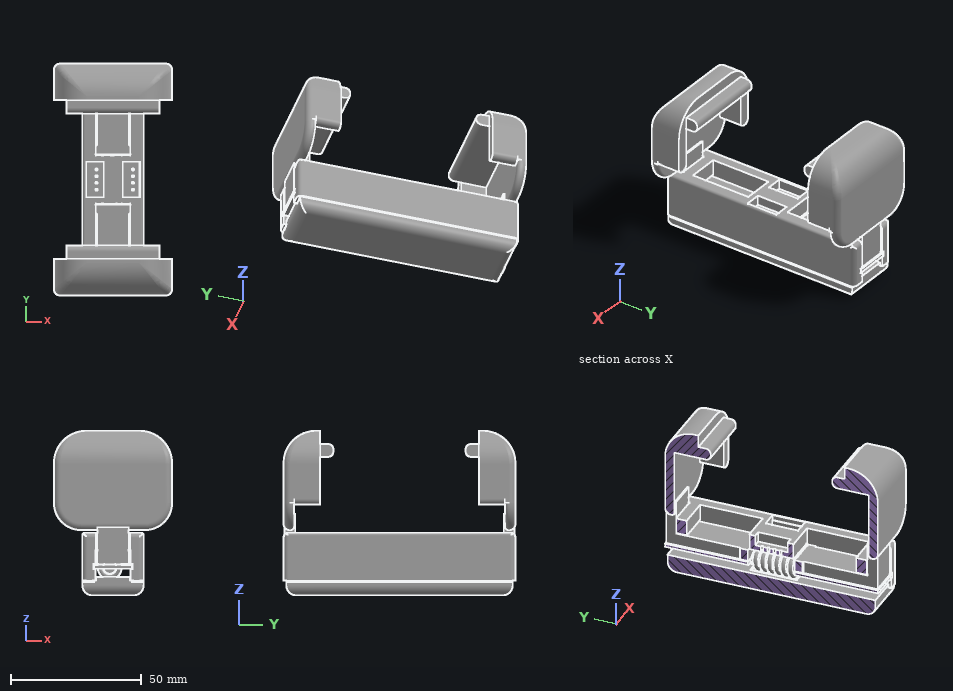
import cadquery as cq
import math


FRONT, BACK = -1, 1
ENDS = (FRONT, BACK)
SIDES = (-1, 1)

length = 88.8
half_length = length / 2
housing_width = 23.5
housing_bottom = 5.7
housing_top = 24.1
corner_radius = 1.95
end_edge_radius = 1.95
side_edge_radius = 1.1

channel_width = 13.2
channel_top = 17.4
stem_slot_depth = 4.7
groove_width = 15.0
groove_bottom = 10.0
groove_top = 12.1

window_inner_y = 9.2
window_outer_y = 35.25
socket_size_x = 6.75
socket_size_y = 13.5
socket_floor = 19.9
ledge_width = 0.35
ledge_top = 21.9
socket_centers_x = (-6.8, 7.1)
contact_offset_x = 0.5
contact_pitch = 2.6
contact_count = 4
contact_diameter = 0.83
contact_depth = 1.8

base_length = 86.65
base_top = 5.15
base_edge_radius = 3.9
tongue_width = 13.1
tongue_shoulder_width = 14.4
tongue_top = 7.1
peg_diameter = 2.4
peg_spacing_x = 18.2
peg_places_y = (-42.0, -7.8, 7.8, 42.0)

stem_width = 12.0
stem_outer_y = half_length - 0.35
stem_thickness = 4.3
stem_top = 31.2
arm_bottom = 12.0
arm_top = 17.05
arm_end_y = 9.7
arm_head_width = 13.05
arm_head_length = 3.55
arm_head_chamfer = 0.4

plate_width = 14.6
plate_bottom = 10.2
plate_top = 11.7

spring_x = -1.2
spring_z = 10.7
wire_diameter = 2.0
spring_outer_radius = 4.6
spring_turns = 6
boss_radius = 2.5
boss_length = 2.7
trough_clearance = 0.2

jaw_width = 45.3
jaw_bottom = 24.95
jaw_top = 63.0
jaw_depth = 14.0
jaw_top_radius = 12.5
jaw_bottom_radius = 10.5
jaw_edge_radius = 2.5
jaw_inner_edge_radius = 1.4
jaw_shell_thickness = 4.1
jaw_wall_thickness = 4.8
jaw_wall_bottom = 34.7
jaw_wall_radius = 2.1
rail_bottom = 52.9
rail_height = 5.1
rail_reach = 5.15
rail_radius = 2.2


def block(x_range, y_range, z_range):
    """Box between two places along each axis."""
    (x0, x1), (y0, y1), (z0, z1) = x_range, y_range, z_range
    return cq.Workplane("XY").box(x1 - x0, y1 - y0, z1 - z0, centered=False).translate((x0, y0, z0))


def centered_block(width, y_range, z_range):
    """Box centred on X = 0."""
    return block((-width / 2, width / 2), y_range, z_range)


def placed_at(end, body):
    """Keep a body built at the front end, or mirror it to the back end."""
    return body if end == FRONT else body.mirror("XZ")


def make_housing():
    full_length = (-half_length, half_length)
    blank = centered_block(housing_width, full_length, (housing_bottom, housing_top))
    body = (
        blank.edges("|Z").fillet(corner_radius)
        .intersect(blank.edges("|X and >Z").fillet(end_edge_radius))
        .intersect(blank.edges("|Y and >Z").fillet(side_edge_radius))
    )
    body = body.cut(centered_block(channel_width, full_length, (housing_bottom, channel_top)))
    body = body.cut(centered_block(groove_width, full_length, (groove_bottom, groove_top)))
    for end in ENDS:
        slot = centered_block(
            channel_width, (-half_length, -half_length + stem_slot_depth), (housing_bottom, housing_top)
        )
        window = centered_block(
            channel_width, (-window_outer_y, -window_inner_y), (channel_top, housing_top)
        )
        body = body.cut(placed_at(end, slot.union(window)))
    for center_x in socket_centers_x:
        body = body.cut(make_socket(center_x))
    return body.union(make_socket_ledge(socket_centers_x[-1]))


def make_socket(center_x):
    """Rectangular pocket with a row of contact holes in its floor."""
    x_range = (center_x - socket_size_x / 2, center_x + socket_size_x / 2)
    pocket = block(x_range, (-socket_size_y / 2, socket_size_y / 2), (socket_floor, housing_top))
    contacts = (
        cq.Workplane("XY", origin=(center_x + contact_offset_x, 0, socket_floor - contact_depth))
        .rarray(0.9, contact_pitch, 1, contact_count)
        .circle(contact_diameter / 2)
        .extrude(contact_depth)
    )
    return pocket.union(contacts)


def make_socket_ledge(center_x):
    """Low step along the outer wall of a socket."""
    wall_x = center_x + socket_size_x / 2
    return block(
        (wall_x - ledge_width, wall_x), (-socket_size_y / 2, socket_size_y / 2), (socket_floor, ledge_top)
    )


def make_base():
    y_range = (-base_length / 2, base_length / 2)
    body = centered_block(housing_width, y_range, (0, base_top))
    body = body.faces("<Z").edges().fillet(base_edge_radius)
    body = body.union(centered_block(tongue_shoulder_width, y_range, (base_top, housing_bottom)))
    body = body.union(centered_block(tongue_width, y_range, (base_top, tongue_top)))
    pegs = (
        cq.Workplane("XY", origin=(0, 0, base_top))
        .pushPoints([(side * peg_spacing_x / 2, y) for side in SIDES for y in peg_places_y])
        .circle(peg_diameter / 2)
        .extrude(housing_bottom - base_top)
    )
    trough = (
        cq.Workplane("XZ", origin=(spring_x, arm_end_y, spring_z))
        .circle(spring_outer_radius + trough_clearance)
        .extrude(2 * arm_end_y)
    )
    return body.union(pegs).cut(trough)


def make_stem_and_arm():
    """Upright stem and lying arm, with a wider head and a spring boss at the inner end."""
    stem = centered_block(
        stem_width, (-stem_outer_y, -stem_outer_y + stem_thickness), (arm_bottom, stem_top)
    )
    arm = centered_block(stem_width, (-stem_outer_y, -arm_end_y), (arm_bottom, arm_top))
    head = (
        centered_block(
            arm_head_width, (-arm_end_y - arm_head_length, -arm_end_y), (arm_bottom, arm_top)
        )
        .edges("|Z and <Y")
        .chamfer(arm_head_chamfer)
    )
    boss = (
        cq.Workplane("XZ", origin=(spring_x, -arm_end_y, spring_z))
        .circle(boss_radius)
        .extrude(-boss_length)
    )
    return stem.union(arm).union(head).union(boss)


def make_plate(end):
    """Flat plate that fills the housing grooves with a small clearance."""
    plate = centered_block(plate_width, (-half_length, -arm_end_y), (plate_bottom, plate_top))
    return placed_at(end, plate)


def make_spring():
    """Round-wire coil along Y between the ends of the two arms."""
    coil_radius = spring_outer_radius - wire_diameter / 2
    travel = 2 * arm_end_y - wire_diameter
    pitch = travel / spring_turns
    helix = cq.Wire.makeHelix(pitch, travel, coil_radius)
    rise_angle = math.degrees(math.atan2(pitch, 2 * math.pi * coil_radius))
    wire_plane = cq.Workplane("XZ", origin=(coil_radius, 0, 0)).transformed(rotate=(rise_angle, 0, 0))
    coil = wire_plane.circle(wire_diameter / 2).sweep(cq.Workplane(obj=helix), isFrenet=True)
    return coil.rotate((0, 0, 0), (1, 0, 0), 90).translate((spring_x, travel / 2, spring_z))


def make_jaw(end):
    """Rounded shell with two side walls and a gripping rail, on its stem and arm."""
    outer_y = -half_length
    inner_y = outer_y + jaw_depth
    shell_y = outer_y + jaw_shell_thickness
    blank = centered_block(jaw_width, (outer_y, inner_y), (jaw_bottom, jaw_top))
    front_outline = (
        blank.edges("|Y and >Z").fillet(jaw_top_radius)
        .edges("|Y and <Z").fillet(jaw_bottom_radius)
    )
    side_outline = blank.edges("|X and <Y and >Z").fillet(jaw_top_radius)
    body = front_outline.intersect(side_outline)
    body = body.faces("<Y").edges("not(|X and >Z)").fillet(jaw_edge_radius)

    shell = body.intersect(centered_block(jaw_width, (outer_y, shell_y), (jaw_bottom, jaw_top)))
    arc_top = jaw_bottom + jaw_bottom_radius
    shell_foot = shell.intersect(centered_block(jaw_width, (outer_y, shell_y), (jaw_bottom, arc_top)))
    shell_foot = shell_foot.faces(">Y").edges("not(>Z)").fillet(jaw_inner_edge_radius)
    shell = shell.intersect(centered_block(jaw_width, (outer_y, shell_y), (arc_top, jaw_top)))

    cavity_width = jaw_width - 2 * jaw_wall_thickness
    crown = centered_block(jaw_width, (shell_y, inner_y), (rail_bottom, jaw_top))
    for side in SIDES:
        wall = centered_block(jaw_wall_thickness, (shell_y, inner_y), (jaw_wall_bottom, rail_bottom))
        wall = wall.edges("|Y and <Z").fillet(jaw_wall_radius)
        crown = crown.union(wall.translate((side * (jaw_width - jaw_wall_thickness) / 2, 0, 0)))
    body = shell.union(shell_foot).union(crown.intersect(body))

    rail = (
        centered_block(cavity_width, (inner_y, inner_y + rail_reach), (rail_bottom, rail_bottom + rail_height))
        .edges("|X and >Y")
        .fillet(rail_radius)
    )
    return placed_at(end, body.union(rail).union(make_stem_and_arm()))


housing = make_housing()
base = make_base()
jaws = [make_jaw(end) for end in ENDS]
plates = [make_plate(end) for end in ENDS]
spring = make_spring()
result = cq.Compound.makeCompound(
    [housing.val(), base.val(), spring.val()]
    + [jaw.val() for jaw in jaws]
    + [plate.val() for plate in plates]
)